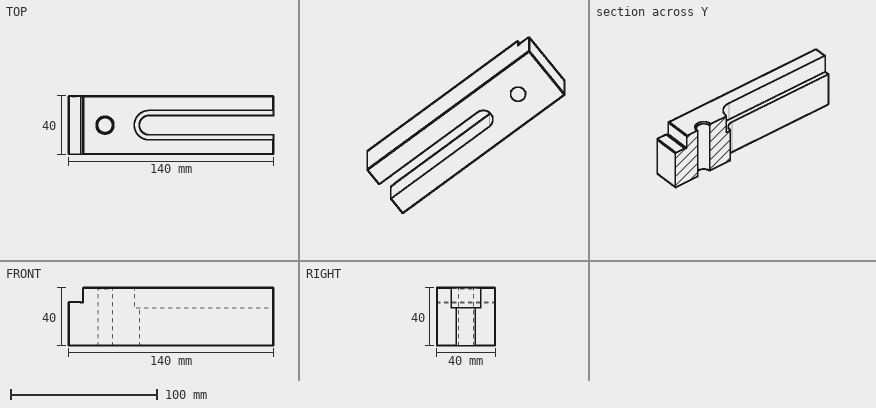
import cadquery as cq

length = 140.0
width = 40.0
height = 40.0
edge_chamfer = 0.5

step_length = 10.0
step_depth = 10.0
relief_width = 1.4
relief_depth = 0.5

hole_x = 25.0
hole_diameter = 10.2
countersink_diameter = 12.2
countersink_angle = 90

slot_center_x = 55.0
channel_width = 20.0
channel_depth = 14.0
slot_width = 13.0


def box_between(x_start, x_end, z_bottom, z_top, y_size):
    """Box centred on Y between the given X and Z limits."""
    return (
        cq.Workplane("XY", origin=(x_start, 0, z_bottom))
        .box(x_end - x_start, y_size, z_top - z_bottom, centered=(False, True, False))
    )


def open_slot(slot_size, z_bottom):
    """Round-ended slot from z_bottom to the top, open at the +X end."""
    straight = box_between(slot_center_x, length, z_bottom, height, slot_size)
    round_end = (
        cq.Workplane("XY", origin=(slot_center_x, 0, z_bottom))
        .circle(slot_size / 2)
        .extrude(height - z_bottom)
    )
    return straight.union(round_end)


shelf_z = height - step_depth
nose = box_between(0, step_length, 0, shelf_z, width)
main_block = box_between(step_length, length, 0, height, width)
body = nose.union(main_block)

body = body.faces("<X or >X or <Z or >Z").edges().chamfer(edge_chamfer)

relief = box_between(
    step_length - relief_width, step_length, shelf_z - relief_depth, shelf_z, width
)
body = body.cut(relief)

body = (
    body.faces(">Z")
    .workplane(origin=(hole_x, 0, height))
    .cskHole(hole_diameter, countersink_diameter, countersink_angle)
)

result = body.cut(open_slot(channel_width, height - channel_depth)).cut(open_slot(slot_width, 0))